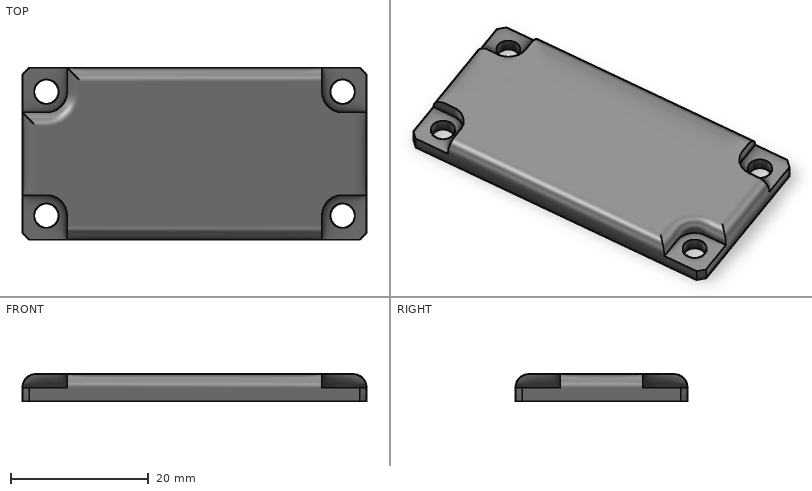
import cadquery as cq

length = 50.0
width = 25.0
height = 4.0
base_thickness = 2.0
corner_chamfer = 1.0
edge_radius = height - base_thickness

hole_diameter = 3.5
hole_inset = 3.5
recess_radius = 3.0
recess_side = hole_inset + recess_radius

rounded_corner = (-1, 1)
sharp_corners = [(-1, -1), (1, -1), (1, 1)]
all_corners = [rounded_corner] + sharp_corners


def make_base():
    """Flat base plate with chamfered vertical corners."""
    plate = cq.Workplane("XY").box(length, width, base_thickness, centered=(True, True, False))
    return plate.edges("|Z").chamfer(corner_chamfer)


def corner_recess(corner):
    """Cutter for a corner square with its inner corner rounded, through the full height."""
    x_sign, y_sign = corner
    cutter = (
        cq.Workplane("XY", origin=(x_sign * length / 2, y_sign * width / 2))
        .rect(2 * recess_side, 2 * recess_side)
        .extrude(height)
    )
    return cutter.edges("|Z").fillet(recess_radius)


def make_cover():
    """Raised step with rounded top edges and four corner recesses."""
    cover = cq.Workplane("XY").box(length, width, height, centered=(True, True, False))
    cover = cover.cut(corner_recess(rounded_corner))
    cover = cover.faces(">Z").edges().fillet(edge_radius)
    for corner in sharp_corners:
        cover = cover.cut(corner_recess(corner))
    return cover


def drill_holes(body):
    """Through holes at the four corners."""
    centers = [
        (x_sign * (length / 2 - hole_inset), y_sign * (width / 2 - hole_inset))
        for x_sign, y_sign in all_corners
    ]
    holes = cq.Workplane("XY").pushPoints(centers).circle(hole_diameter / 2).extrude(height)
    return body.cut(holes)


result = drill_holes(make_base().union(make_cover()))